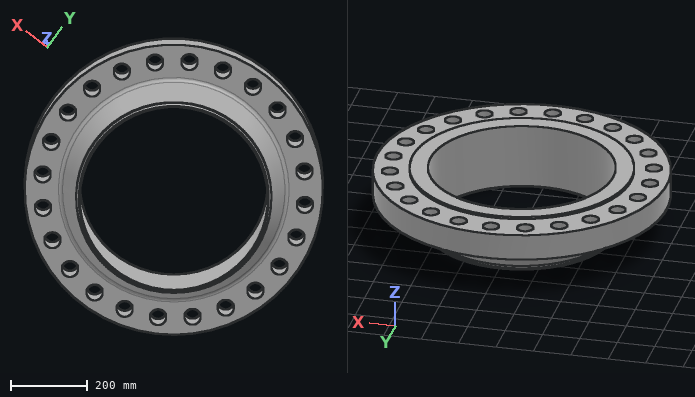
import cadquery as cq

flange_diameter = 775.0
flange_thickness = 70.5
total_height = 174.0
bore_diameter = 488.0

face_diameter = 584.0
face_height = 6.0

hub_fillet_radius = 12.0
hub_top_diameter = 584.0
weld_end_diameter = 507.5
weld_end_height = 14.0
bevel_height = 7.0
bevel_width = 7.0

bolt_count = 24
bolt_circle_diameter = 685.5
bolt_hole_diameter = 42.0

top_z = total_height / 2
flange_top_z = top_z - face_height
flange_bottom_z = flange_top_z - flange_thickness
bottom_z = -total_height / 2


def flange_disc():
    return (
        cq.Workplane("XY", origin=(0, 0, flange_bottom_z))
        .circle(flange_diameter / 2)
        .extrude(flange_thickness)
    )


def raised_face():
    return (
        cq.Workplane("XY", origin=(0, 0, flange_top_z))
        .circle(face_diameter / 2)
        .extrude(face_height)
    )


def hub():
    """Revolved neck: taper, straight weld end and outer bevel."""
    weld_end_radius = weld_end_diameter / 2
    return (
        cq.Workplane("XZ")
        .moveTo(0, flange_bottom_z)
        .lineTo(hub_top_diameter / 2, flange_bottom_z)
        .lineTo(weld_end_radius, bottom_z + weld_end_height)
        .lineTo(weld_end_radius, bottom_z + bevel_height)
        .lineTo(weld_end_radius - bevel_width, bottom_z)
        .lineTo(0, bottom_z)
        .close()
        .revolve(360, (0, 0, 0), (0, 1, 0))
    )


def bolt_holes():
    return (
        cq.Workplane("XY", origin=(0, 0, flange_bottom_z))
        .polarArray(bolt_circle_diameter / 2, 0, 360, bolt_count)
        .circle(bolt_hole_diameter / 2)
        .extrude(flange_thickness)
    )


def bore():
    return (
        cq.Workplane("XY", origin=(0, 0, bottom_z))
        .circle(bore_diameter / 2)
        .extrude(total_height)
    )


def hub_root(workplane):
    """Circular edge where the hub meets the underside of the flange."""
    reach = hub_top_diameter / 2 + hub_fillet_radius
    slab = cq.selectors.BoxSelector(
        (-reach, -reach, flange_bottom_z - hub_fillet_radius / 2),
        (reach, reach, flange_bottom_z + hub_fillet_radius / 2),
        boundingbox=True,
    )
    return workplane.edges(slab).edges("%CIRCLE")


blank = flange_disc().union(raised_face()).union(hub())
blank = hub_root(blank).fillet(hub_fillet_radius)
result = blank.cut(bolt_holes()).cut(bore())